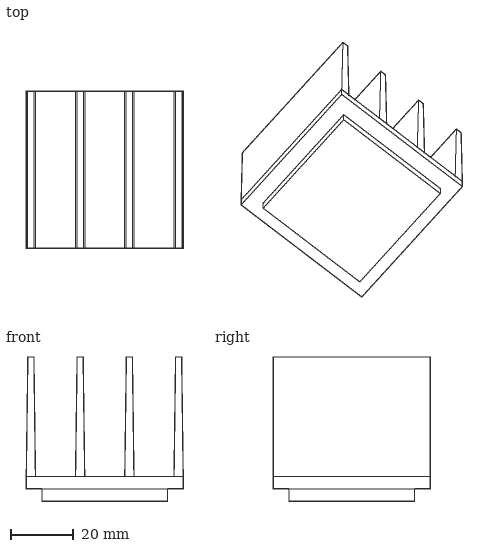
import cadquery as cq

BASE_SIDE = 50.0
BASE_THICKNESS = 4.0

PAD_SIDE = 40.0
PAD_THICKNESS = 4.0

FIN_COUNT = 4
FIN_HEIGHT = 38.0
FIN_ROOT_WIDTH = 3.0
FIN_TIP_WIDTH = 2.0
FIN_PITCH = (BASE_SIDE - FIN_ROOT_WIDTH) / (FIN_COUNT - 1)


def make_pad():
    """Square pad whose top face touches the underside of the base plate."""
    return cq.Workplane("XY").rect(PAD_SIDE, PAD_SIDE).extrude(-PAD_THICKNESS)


def make_base():
    """Square plate with its underside at Z = 0."""
    return cq.Workplane("XY").rect(BASE_SIDE, BASE_SIDE).extrude(BASE_THICKNESS)


def make_fin(center_x):
    """Fin across the full plate depth, tapering equally on both sides."""
    tip_z = BASE_THICKNESS + FIN_HEIGHT
    return (
        cq.Workplane("XZ")
        .moveTo(center_x - FIN_ROOT_WIDTH / 2, BASE_THICKNESS)
        .lineTo(center_x + FIN_ROOT_WIDTH / 2, BASE_THICKNESS)
        .lineTo(center_x + FIN_TIP_WIDTH / 2, tip_z)
        .lineTo(center_x - FIN_TIP_WIDTH / 2, tip_z)
        .close()
        .extrude(BASE_SIDE / 2, both=True)
    )


pad = make_pad()
base = make_base()

first_fin_x = (FIN_ROOT_WIDTH - BASE_SIDE) / 2
fins = [make_fin(first_fin_x + i * FIN_PITCH) for i in range(FIN_COUNT)]

result = cq.Compound.makeCompound([pad.val(), base.val(), *[fin.val() for fin in fins]])